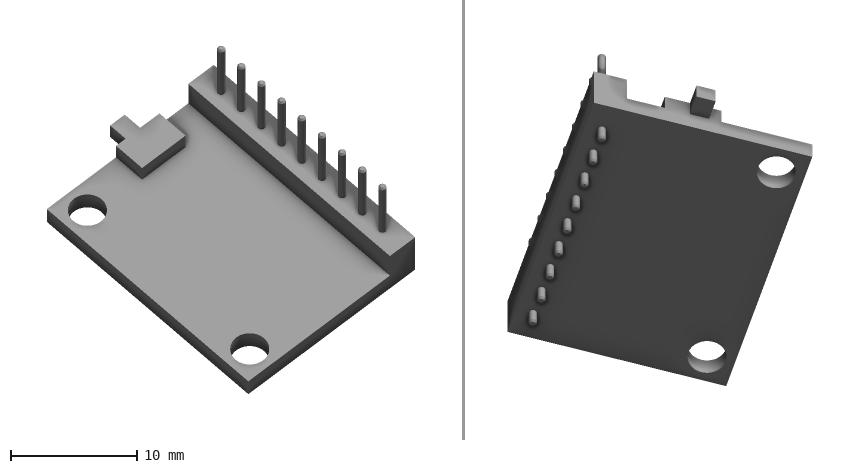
import cadquery as cq

board_length = 23.38
board_width = 18.1
board_thickness = 1.69

hole_diameter = 3.1
hole_edge_gap = 0.73

header_depth = 2.75
header_height = 2.57
pin_count = 9
pin_pitch = board_length / (pin_count + 1)
pin_diameter = 0.65
pin_chamfer = 0.15
pin_length = 11.4
pin_drop = 1.4
pin_y = board_width - header_depth / 2

switch_length = 3.02
switch_width = 4.7
switch_height = 1.5
switch_y = 9.87
overall_length = 25.17
actuator_length = overall_length - board_length
actuator_width = 1.59
actuator_offset = 0.53
actuator_y = switch_y - actuator_offset


def box(length, width, height, x, y, z):
    """Box with its lowest corner at (x, y, z)."""
    return cq.Workplane("XY").box(length, width, height, centered=False).translate((x, y, z))


def make_board():
    hole_inset = hole_edge_gap + hole_diameter / 2
    hole_centers = [(hole_inset, hole_inset), (board_length - hole_inset, hole_inset)]
    holes = (
        cq.Workplane("XY")
        .pushPoints(hole_centers)
        .circle(hole_diameter / 2)
        .extrude(board_thickness)
    )
    return box(board_length, board_width, board_thickness, 0, 0, 0).cut(holes)


def make_switch():
    body = box(
        switch_length, switch_width, switch_height,
        0, switch_y - switch_width / 2, board_thickness,
    )
    actuator = box(
        actuator_length, actuator_width, switch_height,
        -actuator_length, actuator_y - actuator_width / 2, board_thickness,
    )
    return body.union(actuator)


def make_pin(x):
    return (
        cq.Workplane("XY", origin=(x, pin_y, -pin_drop))
        .circle(pin_diameter / 2)
        .extrude(pin_length)
        .edges("%CIRCLE")
        .chamfer(pin_chamfer)
    )


header = box(
    board_length, header_depth, header_height,
    0, board_width - header_depth, board_thickness,
)

result = make_board().union(header).union(make_switch())
for pin_number in range(1, pin_count + 1):
    result = result.union(make_pin(pin_number * pin_pitch))